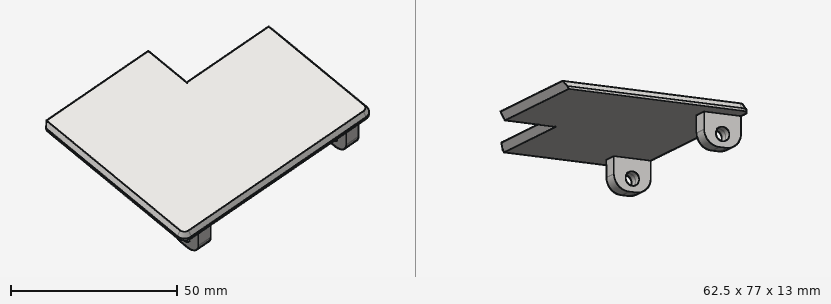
import cadquery as cq
import math

plate_length = 62.5
plate_width = 77.0
plate_thickness = 2.6
rim_height = 0.85
bevel_width = 1.15
corner_radius = 3.0
undercut_angle = 30.0
step_length = 17.1
step_width = 34.4

lug_length = 12.5
lug_height = 10.4
lug_thickness = 5.1
lug_corner_radius = 5.0
lug_inset = 5.9
hole_diameter = 4.5
hole_depth = 6.2

half_width = plate_width / 2
bevel_height = plate_thickness - rim_height
bevel_taper = math.degrees(math.atan(bevel_width / bevel_height))
undercut = plate_thickness * math.tan(math.radians(undercut_angle))
step_y = half_width - step_width


def make_beveled_blank():
    """Rounded plate with beveled edges, left long enough to trim away its left bevel and corners."""
    trim_allowance = 2 * corner_radius
    blank_length = plate_length + trim_allowance
    center_x = plate_length - blank_length / 2
    outline = cq.Sketch().rect(blank_length, plate_width).vertices().fillet(corner_radius)
    rim = cq.Workplane("XY").center(center_x, 0).placeSketch(outline).extrude(rim_height)
    bevel = (
        cq.Workplane("XY", origin=(center_x, 0, rim_height))
        .placeSketch(outline)
        .extrude(bevel_height, taper=bevel_taper)
    )
    return rim.union(bevel)


def make_undercut_slab(left_x, y_min, y_max):
    """Slab whose left face starts at left_x on top and leans inward towards the underside."""
    return (
        cq.Workplane("XZ", origin=(0, y_max, 0))
        .moveTo(left_x + undercut, 0)
        .lineTo(plate_length, 0)
        .lineTo(plate_length, plate_thickness)
        .lineTo(left_x, plate_thickness)
        .close()
        .extrude(y_max - y_min)
    )


def make_plate():
    long_arm = make_undercut_slab(0, -half_width, step_y)
    short_arm = make_undercut_slab(step_length, step_y, half_width)
    return make_beveled_blank().intersect(long_arm.union(short_arm))


def make_lug(center_y):
    """Lug with two rounded lower corners and a hole through it along Y."""
    center_x = plate_length - lug_length / 2
    body = (
        cq.Workplane("XY")
        .box(lug_length, lug_thickness, lug_height)
        .edges("|Y and <Z")
        .fillet(lug_corner_radius)
        .translate((center_x, center_y, -lug_height / 2))
    )
    hole = (
        cq.Workplane("XZ", origin=(center_x, center_y, -hole_depth))
        .circle(hole_diameter / 2)
        .extrude(lug_thickness, both=True)
    )
    return body.cut(hole)


plate = make_plate()

lug_offset = half_width - lug_inset - lug_thickness / 2
lugs = [make_lug(side * lug_offset) for side in (-1, 1)]

result = cq.Compound.makeCompound([plate.val(), *[lug.val() for lug in lugs]])